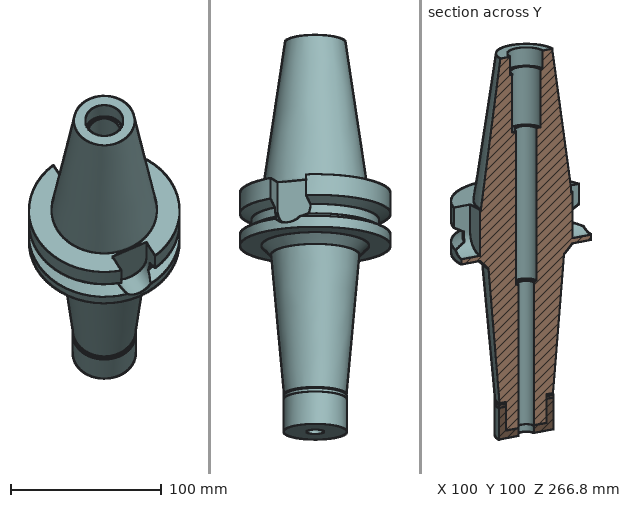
import cadquery as cq


total_height = 266.8
taper_base_z = 165.5
flange_top_z = 163.5
upper_rim_bottom_z = 149.5
groove_top_z = 145.1
groove_bottom_z = 138.7
lower_rim_top_z = 135.0
flange_bottom_z = 127.5
neck_top_z = 121.0
body_end_z = 25.3
ring_gap = 0.8
ring_top_z = body_end_z - ring_gap
nut_top_z = 22.1
spigot_end_z = 5.3

taper_base_radius = 35.0
taper_ratio = 7 / 24
shank_top_radius = taper_base_radius - (total_height - taper_base_z) * taper_ratio / 2
flange_diameter = 100.0
flange_radius = flange_diameter / 2
groove_radius = 42.5
neck_top_radius = 29.3
collar_radius = neck_top_radius + flange_bottom_z - neck_top_z
neck_end_radius = 20.8
nut_radius = 21.0
spigot_radius = 16.0

slot_width = 25.3
slot_floor_x = 35.8
slot_bottom_z = 131.5

mouth_radius = 12.5
mouth_depth = 12.8
thread_radius = 10.7
thread_bottom_z = 213.5
upper_bore_radius = 7.7
upper_bore_bottom_z = 106.7
through_radius = 6.0
through_chamfer = 1.0


def cylinder(radius, bottom_z, top_z):
    return cq.Workplane("XY").workplane(offset=bottom_z).circle(radius).extrude(top_z - bottom_z)


def revolve_profile(points):
    """Turn a closed (radius, z) outline about the Z axis."""
    return cq.Workplane("XZ").polyline(points).close().revolve(360, (0, 0, 0), (0, 1, 0))


def make_holder_blank():
    return revolve_profile([
        (0, total_height),
        (shank_top_radius, total_height),
        (taper_base_radius, taper_base_z),
        (taper_base_radius, flange_top_z),
        (flange_radius, flange_top_z),
        (flange_radius, upper_rim_bottom_z),
        (groove_radius, groove_top_z),
        (groove_radius, groove_bottom_z),
        (flange_radius, lower_rim_top_z),
        (flange_radius, flange_bottom_z),
        (collar_radius, flange_bottom_z),
        (neck_top_radius, neck_top_z),
        (neck_end_radius, body_end_z),
        (spigot_radius, body_end_z),
        (spigot_radius, spigot_end_z),
        (0, spigot_end_z),
    ])


def make_holder_bore():
    return revolve_profile([
        (0, total_height),
        (mouth_radius, total_height),
        (mouth_radius, total_height - mouth_depth),
        (thread_radius, total_height - mouth_depth),
        (thread_radius, thread_bottom_z),
        (upper_bore_radius, thread_bottom_z),
        (upper_bore_radius, upper_bore_bottom_z),
        (through_radius + through_chamfer, upper_bore_bottom_z),
        (through_radius, upper_bore_bottom_z - through_chamfer),
        (through_radius, spigot_end_z),
        (0, spigot_end_z),
    ])


def make_drive_slot(side):
    """Round-bottomed slot, open at the flange top, on the +X (1) or -X (-1) side."""
    half_width = slot_width / 2
    arc_center_z = slot_bottom_z + half_width
    return (
        cq.Workplane("YZ", origin=(side * slot_floor_x, 0, 0))
        .moveTo(-half_width, flange_top_z)
        .lineTo(-half_width, arc_center_z)
        .threePointArc((0, slot_bottom_z), (half_width, arc_center_z))
        .lineTo(half_width, flange_top_z)
        .close()
        .extrude(side * (flange_radius - slot_floor_x))
    )


def make_holder():
    holder = make_holder_blank().cut(make_holder_bore())
    for side in (-1, 1):
        holder = holder.cut(make_drive_slot(side))
    return holder


def make_ring():
    """Flat ring around the spigot, seated on the nut."""
    ring = cylinder(nut_radius, nut_top_z, ring_top_z)
    return ring.cut(cylinder(spigot_radius, nut_top_z, ring_top_z))


def make_nut():
    """Cup that takes the spigot, with a through hole in its front wall."""
    nut = cylinder(nut_radius, 0, nut_top_z)
    spigot_recess = cylinder(spigot_radius, spigot_end_z, nut_top_z)
    front_hole = cylinder(through_radius, 0, spigot_end_z)
    return nut.cut(spigot_recess).cut(front_hole)


holder = make_holder()
ring = make_ring()
nut = make_nut()

result = cq.Compound.makeCompound([holder.val(), ring.val(), nut.val()])